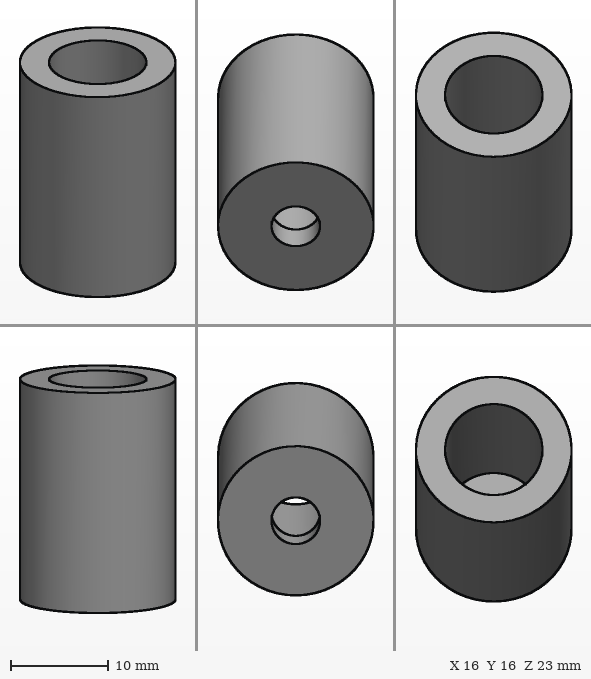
import cadquery as cq

height = 23.0
outer_diameter = 16.0
bore_diameter = 10.0
hole_diameter = 5.0
floor_thickness = 3.0

bore_depth = height - floor_thickness

body = cq.Workplane("XY").circle(outer_diameter / 2).extrude(height)

result = body.faces(">Z").workplane().cboreHole(hole_diameter, bore_diameter, bore_depth)